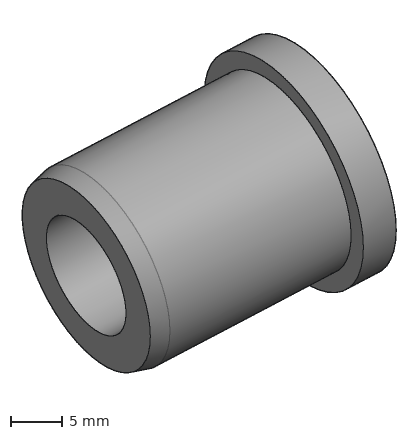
import cadquery as cq
import math

total_length = 28.0
flange_diameter = 26.0
flange_thickness = 4.0
body_diameter = 22.0
bore_diameter = 13.0

taper_length = 2.0
taper_angle = 15.0

bore_radius = bore_diameter / 2
body_radius = body_diameter / 2
flange_radius = flange_diameter / 2
tip_radius = body_radius - taper_length * math.tan(math.radians(taper_angle))
shoulder_y = total_length - flange_thickness

half_section = (
    cq.Workplane("XY")
    .moveTo(bore_radius, 0)
    .lineTo(tip_radius, 0)
    .lineTo(body_radius, taper_length)
    .lineTo(body_radius, shoulder_y)
    .lineTo(flange_radius, shoulder_y)
    .lineTo(flange_radius, total_length)
    .lineTo(bore_radius, total_length)
    .close()
)

result = half_section.revolve(360, (0, 0, 0), (0, 1, 0))